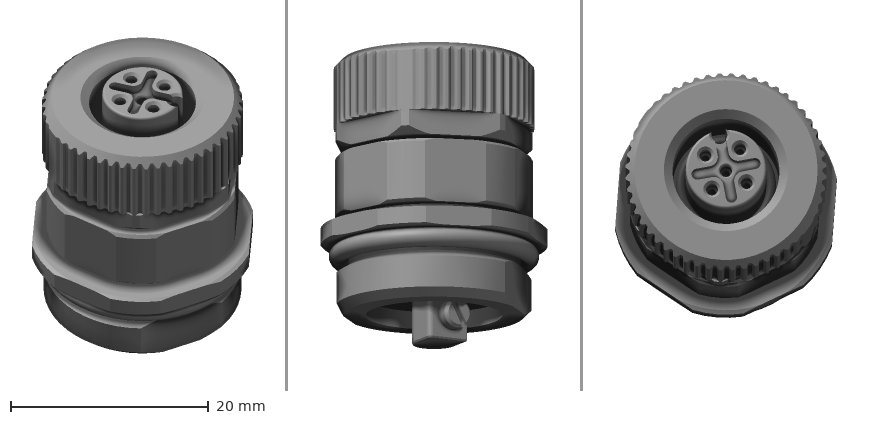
import cadquery as cq
import math

insert_top = 30.0
coupling_top = 29.35
knurl_bottom = 22.25
coupling_bottom = 19.83
grip_top = 19.32
grip_bottom = 12.8
flange_top = 12.05
flange_bottom = 10.08
thread_top = 7.8
thread_bottom = 3.03

coupling_radius = 10.17
coupling_flats = 18.0
coupling_top_chamfer = 0.9
coupling_bottom_chamfer = 0.78
knurl_count = 52
knurl_depth = 0.4
knurl_half_opening = 0.48
knurl_half_floor = 0.15
knurl_fade_steps = 4
neck_radius = 6.72
neck_runout = 0.3

grip_flats = 19.02
grip_radius = 10.02
grip_chamfer = 0.3

flange_flats = 22.0
flange_radius = 11.505
flange_chamfer_width = 0.42
flange_chamfer_height = 0.15
flange_neck_radius = 8.43
flange_neck_runout = 0.25

outer_seal_section = 1.0
outer_seal_inner_radius = 8.67
seat_runout = 0.18
thread_radius = 10.02
thread_flats = 17.82
thread_top_chamfer_height = 0.7
thread_bottom_chamfer = 0.87
thread_top_radius = outer_seal_inner_radius + seat_runout

socket_radius = 5.415
socket_chamfer_width = 0.87
socket_chamfer_height = 0.7
socket_floor = 20.4
rear_bore_radius = 6.9
rear_bore_depth = 1.8

insert_radius = 4.08
insert_edge_fillet = 0.27
contact_circle_radius = 2.52
contact_bore_radius = 0.6
contact_bore_depth = 1.8
contact_pilot_radius = 0.4
contact_pilot_depth = 2.7
contact_chamfer = 0.27
centre_chamfer = 0.15
cross_depth = 1.05
cross_width = 1.15
cross_reach = 3.55
cross_fillet = 0.95
key_distance = 3.63
key_radius = 0.8
key_chamfer = 0.25

inner_seal_section = 0.495

post_radius = 2.22
post_reach = 3.075
post_angle = 135.0
post_front_fillet = 0.15
post_rear_fillet = 0.55
post_end_chamfer_height = 0.18
post_end_chamfer_width = 0.1
screw_radius = 1.5
screw_head_height = 1.53
screw_offset = 0.405
screw_height = 2.5
screw_chamfer = 0.3
screw_slot_width = 0.6
screw_slot_depth = 0.45
screw_slot_tilt = 28.0

rear_bore_top = thread_bottom + rear_bore_depth


def disc(radius, bottom, top):
    return cq.Workplane("XY", origin=(0, 0, bottom)).circle(radius).extrude(top - bottom)


def revolved(profile):
    """Solid of revolution about Z from (radius, height) points."""
    return cq.Workplane("XZ").polyline(profile).close().revolve(360, (0, 0), (0, 1))


def hexagon(across_flats, bottom, top):
    """Hexagonal prism with two of its flats facing +X and -X."""
    corner_diameter = across_flats / math.cos(math.radians(30))
    prism = cq.Workplane("XY", origin=(0, 0, bottom)).polygon(6, corner_diameter).extrude(top - bottom)
    return prism.rotate((0, 0, 0), (0, 0, 1), 30)


def chamfered_disc(radius, bottom, top, chamfer_width, chamfer_height):
    return revolved([
        (0, bottom),
        (radius - chamfer_width, bottom),
        (radius, bottom + chamfer_height),
        (radius, top - chamfer_height),
        (radius - chamfer_width, top),
        (0, top),
    ])


def knurl_grooves():
    """Trapezoidal grooves around the ring, fading out towards +Y and -Y.

    Each groove has its opening width at the ring surface and widens further at the same slope outside it.
    """
    pitch = 360.0 / knurl_count
    steps_per_quarter = knurl_count // 4
    grooves = []
    for index in range(knurl_count):
        steps_from_y = abs((index % (2 * steps_per_quarter)) - steps_per_quarter)
        if steps_from_y == 0:
            continue
        depth = knurl_depth * min(1.0, steps_from_y / knurl_fade_steps)
        floor_x = coupling_radius - depth
        clear_x = coupling_radius + depth
        half_clear = 2 * knurl_half_opening - knurl_half_floor
        groove = (
            cq.Workplane("XY", origin=(0, 0, knurl_bottom))
            .polyline([
                (floor_x, -knurl_half_floor),
                (clear_x, -half_clear),
                (clear_x, half_clear),
                (floor_x, knurl_half_floor),
            ])
            .close()
            .extrude(coupling_top - knurl_bottom)
            .rotate((0, 0, 0), (0, 0, 1), index * pitch)
        )
        grooves.append(groove.val())
    return cq.Compound.makeCompound(grooves)


def coupling_head():
    blank = revolved([
        (0, coupling_bottom),
        (coupling_radius - coupling_bottom_chamfer, coupling_bottom),
        (coupling_radius, coupling_bottom + coupling_bottom_chamfer),
        (coupling_radius, coupling_top - coupling_top_chamfer),
        (coupling_radius - coupling_top_chamfer, coupling_top),
        (0, coupling_top),
    ])
    ring = disc(coupling_radius, knurl_bottom, coupling_top).cut(cq.Workplane(knurl_grooves()))
    envelope = ring.union(hexagon(coupling_flats, coupling_bottom, knurl_bottom))
    return blank.intersect(envelope)


def grip():
    blank = chamfered_disc(grip_radius, grip_bottom, grip_top, grip_chamfer, grip_chamfer)
    return blank.intersect(hexagon(grip_flats, grip_bottom, grip_top))


def flange():
    blank = chamfered_disc(
        flange_radius, flange_bottom, flange_top, flange_chamfer_width, flange_chamfer_height
    )
    return blank.intersect(hexagon(flange_flats, flange_bottom, flange_top))


def necks():
    """Undercuts between the coupling head, the grip and the flange."""
    upper = revolved([
        (0, grip_top),
        (neck_radius, grip_top),
        (neck_radius, coupling_bottom - neck_runout),
        (neck_radius + neck_runout, coupling_bottom),
        (0, coupling_bottom),
    ])
    lower = revolved([
        (0, flange_top),
        (flange_neck_radius + flange_neck_runout, flange_top),
        (flange_neck_radius, flange_top + flange_neck_runout),
        (flange_neck_radius, grip_bottom),
        (0, grip_bottom),
    ])
    return upper, lower


def mounting_thread():
    """Plain threaded length with two flats, and the seat of the outer seal above it."""
    blank = revolved([
        (0, thread_bottom),
        (thread_radius - thread_bottom_chamfer, thread_bottom),
        (thread_radius, thread_bottom + thread_bottom_chamfer),
        (thread_radius, thread_top - thread_top_chamfer_height),
        (thread_top_radius, thread_top),
        (outer_seal_inner_radius, thread_top + seat_runout),
        (outer_seal_inner_radius, flange_bottom),
        (0, flange_bottom),
    ])
    slab_height = flange_bottom - thread_bottom
    slab = cq.Workplane("XY", origin=(0, 0, thread_bottom)).box(
        thread_flats, 2 * thread_radius, slab_height, centered=(True, True, False)
    )
    return blank.intersect(slab)


def make_housing():
    upper_neck, lower_neck = necks()
    body = mounting_thread().union(flange()).union(lower_neck).union(grip())
    body = body.union(upper_neck).union(coupling_head())
    bore = revolved([
        (0, thread_bottom),
        (rear_bore_radius, thread_bottom),
        (rear_bore_radius, rear_bore_top),
        (insert_radius, rear_bore_top),
        (insert_radius, socket_floor),
        (socket_radius, socket_floor),
        (socket_radius, coupling_top - socket_chamfer_height),
        (socket_radius + socket_chamfer_width, coupling_top),
        (0, coupling_top),
    ])
    return body.cut(bore)


def make_seal(inner_radius, section_radius, centre_height):
    """O-ring lying flat around the Z axis."""
    ring = cq.Solid.makeTorus(inner_radius + section_radius, section_radius)
    return cq.Workplane(ring).translate((0, 0, centre_height))


def cross_groove():
    """Cross-shaped recess with rounded inner corners and round arm ends."""
    floor = insert_top - cross_depth
    floor_plane = cq.Workplane("XY", origin=(0, 0, floor))
    arm = floor_plane.slot2D(2 * cross_reach, cross_width).extrude(cross_depth)
    cross = arm.union(arm.rotate((0, 0, 0), (0, 0, 1), 90))
    corner_box = cq.selectors.BoxSelector(
        (-cross_width, -cross_width, floor),
        (cross_width, cross_width, insert_top),
    )
    cross = cross.edges("|Z").edges(corner_box).fillet(cross_fillet)
    return cross.rotate((0, 0, 0), (0, 0, 1), 45)


def contact_hole(x, y, mouth, chamfer):
    """Blind contact bore: countersunk mouth, conical step and conical tip."""
    step_top = mouth - contact_bore_depth
    step_bottom = step_top - (contact_bore_radius - contact_pilot_radius)
    pilot_bottom = step_top - contact_pilot_depth
    hole = revolved([
        (0, pilot_bottom - contact_pilot_radius),
        (contact_pilot_radius, pilot_bottom),
        (contact_pilot_radius, step_bottom),
        (contact_bore_radius, step_top),
        (contact_bore_radius, mouth - chamfer),
        (contact_bore_radius + chamfer, mouth),
        (0, mouth),
    ])
    return hole.translate((x, y, 0))


def key_slot():
    """Coding groove open to the rim, running down the side of the insert."""
    offset = key_distance * math.cos(math.radians(45))
    slot = disc(key_radius, socket_floor + 2 * inner_seal_section, insert_top - key_chamfer)
    mouth = revolved([
        (0, insert_top - key_chamfer),
        (key_radius, insert_top - key_chamfer),
        (key_radius + key_chamfer, insert_top),
        (0, insert_top),
    ])
    return slot.union(mouth).translate((offset, offset, 0))


def terminal_post():
    """Post with a round back and a flat end, pointing along +X before it is turned."""
    post = (
        cq.Workplane("XY")
        .moveTo(0, post_radius)
        .threePointArc((-post_radius, 0), (0, -post_radius))
        .lineTo(post_reach, -post_radius)
        .lineTo(post_reach, post_radius)
        .close()
        .extrude(rear_bore_top)
    )
    post = post.edges("|Z and >X and >Y").fillet(post_front_fillet)
    post = post.edges("|Z and >X and <Y").fillet(post_rear_fillet)
    return post.faces("<Z").chamfer(post_end_chamfer_height, post_end_chamfer_width)


def terminal_screw():
    """Slotted screw head on the flat end of the post."""
    origin = (post_reach, screw_offset, screw_height)
    head = (
        cq.Workplane("YZ", origin=origin)
        .circle(screw_radius)
        .extrude(screw_head_height)
        .faces(">X")
        .chamfer(screw_chamfer)
    )
    slot = (
        cq.Workplane("YZ", origin=origin)
        .workplane(offset=screw_head_height - screw_slot_depth)
        .transformed(rotate=(0, 0, screw_slot_tilt))
        .rect(screw_slot_width, 2 * screw_radius)
        .extrude(screw_slot_depth)
    )
    return head.cut(slot)


def make_insert():
    core = disc(insert_radius, rear_bore_top, insert_top).faces(">Z").edges().fillet(insert_edge_fillet)
    core = core.cut(cross_groove()).cut(key_slot())
    for index in range(4):
        angle = math.radians(90 * index)
        x = contact_circle_radius * math.cos(angle)
        y = contact_circle_radius * math.sin(angle)
        core = core.cut(contact_hole(x, y, insert_top, contact_chamfer))
    core = core.cut(contact_hole(0, 0, insert_top - cross_depth, centre_chamfer))
    terminal = terminal_post().union(terminal_screw()).rotate((0, 0, 0), (0, 0, 1), post_angle)
    return core.union(terminal)


housing = make_housing()
contact_insert = make_insert()
outer_seal = make_seal(outer_seal_inner_radius, outer_seal_section, flange_bottom - outer_seal_section)
inner_seal = make_seal(insert_radius, inner_seal_section, socket_floor + inner_seal_section)

result = cq.Compound.makeCompound([
    housing.val(),
    contact_insert.val(),
    outer_seal.val(),
    inner_seal.val(),
])